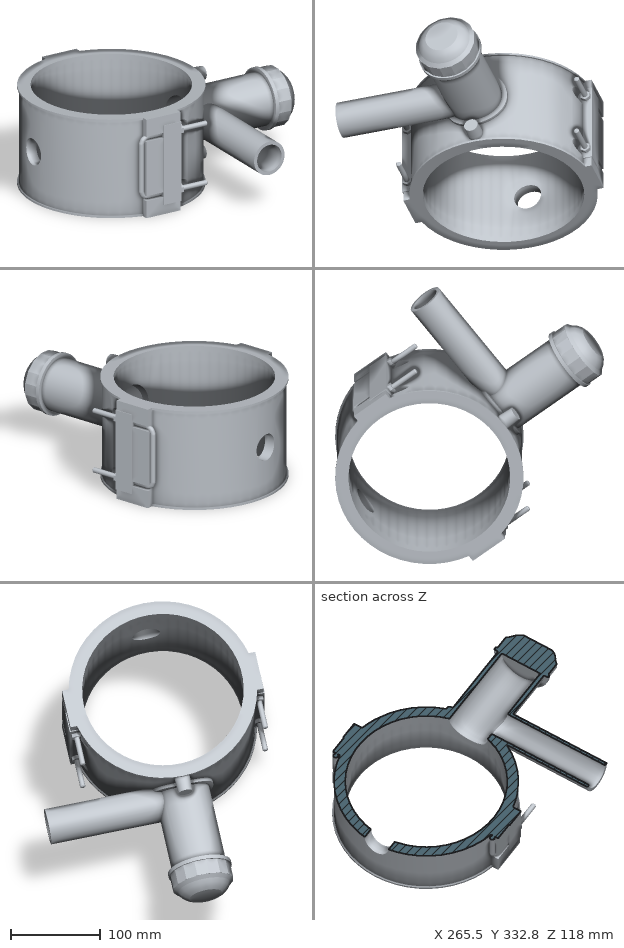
import cadquery as cq
import math

BORE_RADIUS = 89.8
BODY_RADIUS = 102.8
LIP_RADIUS = 104.8
LIP_HEIGHT = 2.3
HEIGHT = 118.0
DRAIN_DIAMETER = 31.3

LUG_HALF_WIDTH = 109.8
LUG_DEPTH = 22.3
PAD_HALF_WIDTH = 110.8
PAD_BACK = 23.3
PAD_HEIGHT = 95.0

ROD_DIAMETER = 6.0
ROD_X = 103.8
ROD_Z = 35.5
ROD_TIP_Y = 60.2
ROD_TIP_CHAMFER = 1.0
BAR_Y = -25.0
BEND_RADIUS = 8.0
NUT_SIDES = 6
NUT_ACROSS_FLATS = 10.0
NUT_HEIGHT = 4.3
NUT_POCKET_DIAMETER = 20.0

PIPE_DIAMETER = 61.2
PIPE_BORE_DIAMETER = 50.5
SADDLE_DIAMETER = 72.0
SADDLE_RADIUS = 106.5

CAP_FLANGE_DIAMETER = 72.0
CAP_FLANGE_START = 193.3
CAP_GRIP_START = 197.5
CAP_GRIP_END = 214.5
CAP_GRIP_SIDES = 16
CAP_GRIP_ACROSS_FLATS = 68.0
CAP_SHOULDER_END = 218.2
CAP_SHOULDER_RADIUS = 30.0
CAP_TOP_RADIUS = 18.5
CAP_TOP = 228.0
CAP_DOME_BULGE = 1.0

SIDE_DIAMETER = 40.0
SIDE_BORE_DIAMETER = 32.0
SIDE_Y = 110.8
SIDE_END = 154.7

STUD_Z = 47.2
STUD_TIP_Y = 120.0
STUD_TIP_DIAMETER = 15.5
STUD_DRAFT = 3.0


def cylinder_y(diameter, start, end, x=0.0, z=0.0):
    """Cylinder along Y from start to end."""
    axis_start = cq.Vector(x, start, z)
    return cq.Workplane(cq.Solid.makeCylinder(diameter / 2, end - start, axis_start, cq.Vector(0, 1, 0)))


def cylinder_x(diameter, start, end, y):
    """Cylinder along X from start to end."""
    axis_start = cq.Vector(start, y, 0)
    return cq.Workplane(cq.Solid.makeCylinder(diameter / 2, end - start, axis_start, cq.Vector(1, 0, 0)))


def disc(radius, height):
    """Cylinder along Z, centred on the origin."""
    return cq.Workplane("XY").circle(radius).extrude(height / 2, both=True)


def block(x_range, y_range, height, z=0.0):
    """Box between two X and two Y values, centred on z."""
    width = x_range[1] - x_range[0]
    depth = y_range[1] - y_range[0]
    center = (sum(x_range) / 2, sum(y_range) / 2, z)
    return cq.Workplane("XY").box(width, depth, height).translate(center)


def prism_y(sides, across_flats, start, end, x=0.0, z=0.0):
    """Regular prism along Y with flats facing +X and -X."""
    corner_diameter = across_flats / math.cos(math.pi / sides)
    half_step = 180 / sides
    prism = cq.Workplane("XZ").polygon(sides, corner_diameter).extrude(start - end)
    return prism.rotate((0, 0, 0), (0, 1, 0), half_step).translate((x, start, z))


def ring():
    lip_offset = (HEIGHT - LIP_HEIGHT) / 2
    body = disc(BODY_RADIUS, HEIGHT)
    for side in (-1, 1):
        body = body.union(disc(LIP_RADIUS, LIP_HEIGHT).translate((0, 0, side * lip_offset)))
    return body


def lug():
    """Lug on the +X side with a slightly proud pad behind the parting plane."""
    body = block((BORE_RADIUS, LUG_HALF_WIDTH), (-LUG_DEPTH, LUG_DEPTH), HEIGHT)
    return body.union(block((BORE_RADIUS, PAD_HALF_WIDTH), (0, PAD_BACK), PAD_HEIGHT))


def bolt_cuts():
    """Rod slots in the front half of the lug and nut pockets in the ring behind it."""
    cuts = cq.Workplane("XY")
    for z in (-ROD_Z, ROD_Z):
        slot = block((ROD_X, PAD_HALF_WIDTH), (-LUG_DEPTH, 0), ROD_DIAMETER, z)
        pocket = cylinder_y(NUT_POCKET_DIAMETER, PAD_BACK, ROD_TIP_Y, ROD_X, z)
        cuts = cuts.add(slot).add(pocket)
    return cuts.combine()


def u_bolt():
    """U-bolt on the +X side with its nuts."""
    bend_y = BAR_Y + BEND_RADIUS
    straight_z = ROD_Z - BEND_RADIUS
    bend_shift = BEND_RADIUS * math.sin(math.pi / 4)
    path = (
        cq.Workplane("YZ", origin=(ROD_X, 0, 0))
        .moveTo(ROD_TIP_Y, ROD_Z)
        .lineTo(bend_y, ROD_Z)
        .threePointArc((bend_y - bend_shift, straight_z + bend_shift), (BAR_Y, straight_z))
        .lineTo(BAR_Y, -straight_z)
        .threePointArc((bend_y - bend_shift, -straight_z - bend_shift), (bend_y, -ROD_Z))
        .lineTo(ROD_TIP_Y, -ROD_Z)
    )
    tip_plane = cq.Workplane("XZ", origin=(ROD_X, ROD_TIP_Y, ROD_Z))
    bolt = tip_plane.circle(ROD_DIAMETER / 2).sweep(path)
    bolt = bolt.faces(">Y").chamfer(ROD_TIP_CHAMFER)
    for z in (-ROD_Z, ROD_Z):
        nut = prism_y(NUT_SIDES, NUT_ACROSS_FLATS, PAD_BACK, PAD_BACK + NUT_HEIGHT, ROD_X, z)
        bolt = bolt.union(nut)
    return bolt


def saddle():
    """Curved pad that wraps the ring at the foot of the branch pipe."""
    return disc(SADDLE_RADIUS, HEIGHT).intersect(cylinder_y(SADDLE_DIAMETER, BORE_RADIUS, CAP_TOP))


def cap():
    flange = cylinder_y(CAP_FLANGE_DIAMETER, CAP_FLANGE_START, CAP_GRIP_START)
    grip = prism_y(CAP_GRIP_SIDES, CAP_GRIP_ACROSS_FLATS, CAP_GRIP_START, CAP_GRIP_END)
    dome_middle = (
        (CAP_SHOULDER_RADIUS + CAP_TOP_RADIUS) / 2 + CAP_DOME_BULGE,
        (CAP_SHOULDER_END + CAP_TOP) / 2 + CAP_DOME_BULGE,
    )
    dome = (
        cq.Workplane("XY")
        .moveTo(0, CAP_GRIP_END)
        .lineTo(CAP_GRIP_ACROSS_FLATS / 2, CAP_GRIP_END)
        .lineTo(CAP_SHOULDER_RADIUS, CAP_SHOULDER_END)
        .threePointArc(dome_middle, (CAP_TOP_RADIUS, CAP_TOP))
        .lineTo(0, CAP_TOP)
        .close()
        .revolve(360, (0, 0), (0, 1))
    )
    return flange.union(grip).union(dome)


def studs():
    """Round studs that widen towards the ring."""
    pair = cq.Workplane("XY")
    for z in (-STUD_Z, STUD_Z):
        stud = (
            cq.Workplane("XZ", origin=(0, STUD_TIP_Y, z))
            .circle(STUD_TIP_DIAMETER / 2)
            .extrude(STUD_TIP_Y - BORE_RADIUS, taper=-STUD_DRAFT)
        )
        pair = pair.add(stud)
    return pair.combine()


clamp = ring()
for lug_side in (lug(), lug().mirror("YZ")):
    clamp = clamp.union(lug_side)
for cut_side in (bolt_cuts(), bolt_cuts().mirror("YZ")):
    clamp = clamp.cut(cut_side)
for bolt_side in (u_bolt(), u_bolt().mirror("YZ")):
    clamp = clamp.union(bolt_side)

side_pipe = cylinder_x(SIDE_DIAMETER, 0, SIDE_END, SIDE_Y)
branch = cylinder_y(PIPE_DIAMETER, BORE_RADIUS, CAP_FLANGE_START)
clamp = clamp.union(saddle()).union(branch).union(side_pipe).union(cap()).union(studs())

clamp = clamp.cut(disc(BORE_RADIUS, HEIGHT))
clamp = clamp.cut(cylinder_y(PIPE_BORE_DIAMETER, 0, CAP_FLANGE_START))
clamp = clamp.cut(cylinder_x(SIDE_BORE_DIAMETER, 0, SIDE_END, SIDE_Y))
result = clamp.cut(cylinder_y(DRAIN_DIAMETER, -LIP_RADIUS, 0))